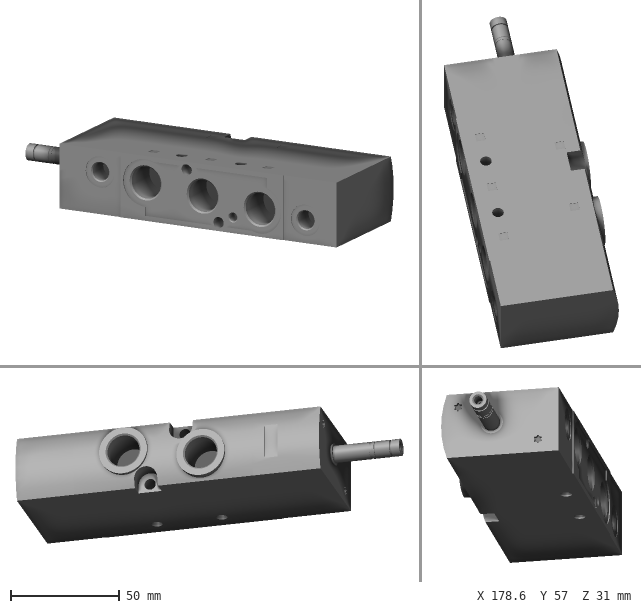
import cadquery as cq
import math

TOTAL_LENGTH = 178.6
HEIGHT = 31.0
TOTAL_DEPTH = 57.0
HALF_HEIGHT = HEIGHT / 2

STEM_LENGTH = 32.9
LEFT_CAP_LENGTH = 32.3
HOUSING_LENGTH = 85.7
HOUSING_LEFT = STEM_LENGTH + LEFT_CAP_LENGTH
HOUSING_RIGHT = HOUSING_LEFT + HOUSING_LENGTH
HOUSING_MID = HOUSING_LEFT + HOUSING_LENGTH / 2

CAP_SETBACK = 0.4
BOSS_RISE = 1.0
CROWN_RISE = 2.7
BACK_APEX = TOTAL_DEPTH - BOSS_RISE
BACK_EDGE = BACK_APEX - CROWN_RISE

PORT_DIAMETER = 15.4
PORT_MOUTH_DIAMETER = 16.8
PORT_DEPTH = 17.9
FRONT_PORT_PITCH = 30.0
BACK_PORT_OFFSET = 18.5
PORT_STAGGER = 2.5
BOSS_DIAMETER = 23.0
BOSS_START = BACK_EDGE - CROWN_RISE

RECESS_DEPTH = 0.5
RECESS_HALF_HEIGHT = 13.2
RECESS_RADIUS = BOSS_DIAMETER / 2
RECESS_RIGHT_CORNER = 34.1

MOUNT_HOLE_DIAMETER = 5.4
MOUNT_HOLE_X = 8.4
MOUNT_HOLE_Z = 11.6
MOUNT_SLOT_WIDTH = 11.0
MOUNT_SLOT_DEPTH = 9.1
CROSS_HOLE_X = 15.5
CROSS_HOLE_Y = 9.1
LOCATOR_X = 15.9
LOCATOR_Z = -8.2
LOCATOR_DIAMETER = 4.0
LOCATOR_MOUTH_DIAMETER = 4.8
LOCATOR_DEPTH = 5.4

LABEL_SIZE = 4.3
LABEL_DEPTH = 0.2
BACK_LABEL_Y = 44.5

PILOT_DIAMETER = 8.5
PILOT_MOUTH_DIAMETER = 9.6
PILOT_DEPTH = 10.7
PILOT_FACE_DIAMETER = 15.0
PILOT_FACE_DEPTH = 0.4
LEFT_PILOT = (54.1, 4.6)
RIGHT_PILOT = (162.2, -4.6)

CAP_GROOVE_X = 56.0
CAP_GROOVE_WIDTH = 6.5
CAP_GROOVE_DEPTH = 0.7

SCREW_HEAD_DIAMETER = 8.0
SCREW_HEAD_HEIGHT = 4.5
SCREW_PLACES = [(47.9, 9.1), (10.2, -9.3)]
SOCKET_CORE_DIAMETER = 3.0
SOCKET_LOBE_DIAMETER = 0.9
SOCKET_LOBE_RADIUS = 1.6
SOCKET_LOBE_COUNT = 6
SOCKET_DEPTH = 1.8

STEM_Y = 31.8
STEM_DIAMETER = 8.0
PLUG_LENGTH = 12.1
CLIP_GROOVE_START = 4.0
CLIP_GROOVE_WIDTH = 0.9
CLIP_GROOVE_DIAMETER = 6.8
TIP_HOLE_DIAMETER = 4.0
TIP_HOLE_MOUTH_DIAMETER = 5.4
TIP_HOLE_DEPTH = 7.1
TIP_BORE_DIAMETER = 2.3
TIP_BORE_DEPTH = 1.8
JOINT_CHAMFER = 0.4
CRIMP_START = 13.4
CRIMP_WIDTH = 1.0
CRIMP_DEPTH = 0.2
FLANGE_DIAMETER = 10.5
FLANGE_BASE_DIAMETER = 9.3
FLANGE_WIDTH = 1.0


def cylinder(start, direction, diameter, length):
    solid = cq.Solid.makeCylinder(diameter / 2, length, cq.Vector(*start), cq.Vector(*direction))
    return cq.Workplane(solid)


def port_cutter(x, y, z, inward, diameter, mouth_diameter, depth):
    """Blind hole along Y with a 45 degree countersunk mouth; inward is +1 or -1."""
    start = cq.Vector(x, y, z)
    direction = cq.Vector(0, inward, 0)
    countersink_depth = (mouth_diameter - diameter) / 2
    countersink = cq.Solid.makeCone(mouth_diameter / 2, diameter / 2, countersink_depth, start, direction)
    return cylinder((x, y, z), (0, inward, 0), diameter, depth).union(cq.Workplane(countersink))


def crowned_block(x_left, x_right, front):
    """Rectangular block whose back face is crowned by a shallow arc."""
    return (
        cq.Workplane("YZ", origin=(x_left, 0, 0))
        .moveTo(front, -HALF_HEIGHT)
        .lineTo(BACK_EDGE, -HALF_HEIGHT)
        .threePointArc((BACK_APEX, 0), (BACK_EDGE, HALF_HEIGHT))
        .lineTo(front, HALF_HEIGHT)
        .close()
        .extrude(x_right - x_left)
    )


def sealing_recess():
    """Shallow front recess: a flat band that swells into an arc around each outer port."""
    port_x = FRONT_PORT_PITCH
    crossing = math.sqrt(RECESS_RADIUS**2 - (RECESS_HALF_HEIGHT - PORT_STAGGER) ** 2)
    corner_rise = math.sqrt(RECESS_RADIUS**2 - (RECESS_RIGHT_CORNER - port_x) ** 2)
    return (
        cq.Workplane("XZ", origin=(HOUSING_MID, 0, 0))
        .moveTo(crossing - port_x, RECESS_HALF_HEIGHT)
        .lineTo(RECESS_RIGHT_CORNER, RECESS_HALF_HEIGHT)
        .lineTo(RECESS_RIGHT_CORNER, corner_rise - PORT_STAGGER)
        .threePointArc((port_x + RECESS_RADIUS, -PORT_STAGGER), (port_x - crossing, -RECESS_HALF_HEIGHT))
        .lineTo(-port_x, -RECESS_HALF_HEIGHT)
        .lineTo(-port_x, PORT_STAGGER - RECESS_RADIUS)
        .threePointArc((-port_x - RECESS_RADIUS, PORT_STAGGER), (crossing - port_x, RECESS_HALF_HEIGHT))
        .close()
        .extrude(-RECESS_DEPTH)
    )


def mounting_cutter(side):
    """Through hole along Y, opened at the back by a round-bottomed slot to the top (+1) or bottom (-1)."""
    x = HOUSING_MID - side * MOUNT_HOLE_X
    z = side * MOUNT_HOLE_Z
    slot_front = BACK_APEX - MOUNT_SLOT_DEPTH
    hole = cylinder((x, 0, z), (0, 1, 0), MOUNT_HOLE_DIAMETER, TOTAL_DEPTH)
    slot_end = cylinder((x, slot_front, z), (0, 1, 0), MOUNT_SLOT_WIDTH, TOTAL_DEPTH)
    slot = cq.Workplane("XY").box(MOUNT_SLOT_WIDTH, TOTAL_DEPTH, HALF_HEIGHT, centered=(True, False, False))
    if side < 0:
        slot = slot.mirror("XY")
    return hole.union(slot_end).union(slot.translate((x, slot_front, z)))


def make_housing():
    housing = crowned_block(HOUSING_LEFT, HOUSING_RIGHT, 0)
    for side in (-1, 1):
        boss_place = (HOUSING_MID + side * BACK_PORT_OFFSET, BOSS_START, side * PORT_STAGGER)
        boss_length = TOTAL_DEPTH - BOSS_START
        housing = housing.union(cylinder(boss_place, (0, 1, 0), BOSS_DIAMETER, boss_length))
    housing = housing.cut(sealing_recess())

    for step in (-1, 0, 1):
        x = HOUSING_MID + step * FRONT_PORT_PITCH
        z = -step * PORT_STAGGER
        housing = housing.cut(
            port_cutter(x, RECESS_DEPTH, z, 1, PORT_DIAMETER, PORT_MOUTH_DIAMETER, PORT_DEPTH)
        )
    for side in (-1, 1):
        x = HOUSING_MID + side * BACK_PORT_OFFSET
        z = side * PORT_STAGGER
        housing = housing.cut(
            port_cutter(x, TOTAL_DEPTH, z, -1, PORT_DIAMETER, PORT_MOUTH_DIAMETER, PORT_DEPTH)
        )
        housing = housing.cut(mounting_cutter(side))
        cross_hole_start = (HOUSING_MID + side * CROSS_HOLE_X, CROSS_HOLE_Y, -HALF_HEIGHT)
        housing = housing.cut(cylinder(cross_hole_start, (0, 0, 1), MOUNT_HOLE_DIAMETER, HEIGHT))
    housing = housing.cut(
        port_cutter(
            HOUSING_MID + LOCATOR_X, RECESS_DEPTH, LOCATOR_Z, 1,
            LOCATOR_DIAMETER, LOCATOR_MOUTH_DIAMETER, LOCATOR_DEPTH,
        )
    )

    label_places = [(step * FRONT_PORT_PITCH, CROSS_HOLE_Y) for step in (-1, 0, 1)]
    label_places += [(side * BACK_PORT_OFFSET, BACK_LABEL_Y) for side in (-1, 1)]
    labels = (
        cq.Workplane("XY", origin=(HOUSING_MID, 0, HALF_HEIGHT))
        .pushPoints(label_places)
        .rect(LABEL_SIZE, LABEL_SIZE)
        .extrude(-LABEL_DEPTH)
    )
    return housing.cut(labels)


def make_cap(x_left, x_right, pilot):
    """End cap with a spot-faced pilot port at pilot = (X, Z)."""
    x, z = pilot
    spot_floor = CAP_SETBACK + PILOT_FACE_DEPTH
    cap = crowned_block(x_left, x_right, CAP_SETBACK)
    cap = cap.cut(cylinder((x, CAP_SETBACK, z), (0, 1, 0), PILOT_FACE_DIAMETER, PILOT_FACE_DEPTH))
    return cap.cut(port_cutter(x, spot_floor, z, 1, PILOT_DIAMETER, PILOT_MOUTH_DIAMETER, PILOT_DEPTH))


def make_left_cap():
    cap = make_cap(STEM_LENGTH, HOUSING_LEFT, LEFT_PILOT)
    for y, z in SCREW_PLACES:
        cap = cap.cut(cylinder((STEM_LENGTH, y, z), (1, 0, 0), SCREW_HEAD_DIAMETER, SCREW_HEAD_HEIGHT))
    groove = (
        cq.Workplane("XY")
        .box(CAP_GROOVE_WIDTH, CAP_GROOVE_DEPTH, HEIGHT)
        .translate((CAP_GROOVE_X, BACK_APEX - CAP_GROOVE_DEPTH / 2, 0))
    )
    return cap.cut(groove)


def make_screw(y, z):
    """Flush screw head with a six-lobed socket."""
    screw = cylinder((STEM_LENGTH, y, z), (1, 0, 0), SCREW_HEAD_DIAMETER, SCREW_HEAD_HEIGHT)
    screw = screw.cut(cylinder((STEM_LENGTH, y, z), (1, 0, 0), SOCKET_CORE_DIAMETER, SOCKET_DEPTH))
    for lobe in range(SOCKET_LOBE_COUNT):
        angle = 2 * math.pi * lobe / SOCKET_LOBE_COUNT
        lobe_y = y + SOCKET_LOBE_RADIUS * math.sin(angle)
        lobe_z = z + SOCKET_LOBE_RADIUS * math.cos(angle)
        lobe_start = (STEM_LENGTH, lobe_y, lobe_z)
        screw = screw.cut(cylinder(lobe_start, (1, 0, 0), SOCKET_LOBE_DIAMETER, SOCKET_DEPTH))
    return screw


def stem_cylinder(x, diameter, length):
    return cylinder((x, STEM_Y, 0), (1, 0, 0), diameter, length)


def stem_cone(x, start_diameter, end_diameter, length):
    cone = cq.Solid.makeCone(
        start_diameter / 2, end_diameter / 2, length, cq.Vector(x, STEM_Y, 0), cq.Vector(1, 0, 0)
    )
    return cq.Workplane(cone)


def stem_groove(x, width, floor_diameter):
    return stem_cylinder(x, STEM_DIAMETER, width).cut(stem_cylinder(x, floor_diameter, width))


def make_stem_plug():
    """Tip of the stem with a clip groove and a countersunk, stepped axial hole."""
    plug = stem_cylinder(0, STEM_DIAMETER, PLUG_LENGTH).faces(">X").chamfer(JOINT_CHAMFER)
    plug = plug.cut(stem_groove(CLIP_GROOVE_START, CLIP_GROOVE_WIDTH, CLIP_GROOVE_DIAMETER))
    countersink_depth = (TIP_HOLE_MOUTH_DIAMETER - TIP_HOLE_DIAMETER) / 2
    plug = plug.cut(stem_cone(0, TIP_HOLE_MOUTH_DIAMETER, TIP_HOLE_DIAMETER, countersink_depth))
    plug = plug.cut(stem_cylinder(0, TIP_HOLE_DIAMETER, TIP_HOLE_DEPTH))
    return plug.cut(stem_cylinder(TIP_HOLE_DEPTH, TIP_BORE_DIAMETER, TIP_BORE_DEPTH))


def make_stem_tube():
    """Body of the stem with a shallow crimp groove and a flange that tapers towards the cap."""
    tube = stem_cylinder(PLUG_LENGTH, STEM_DIAMETER, STEM_LENGTH - PLUG_LENGTH)
    tube = tube.cut(stem_groove(CRIMP_START, CRIMP_WIDTH, STEM_DIAMETER - 2 * CRIMP_DEPTH))
    flange_start = STEM_LENGTH - FLANGE_WIDTH
    return tube.union(stem_cone(flange_start, FLANGE_DIAMETER, FLANGE_BASE_DIAMETER, FLANGE_WIDTH))


housing = make_housing()
left_cap = make_left_cap()
right_cap = make_cap(HOUSING_RIGHT, TOTAL_LENGTH, RIGHT_PILOT)
screws = [make_screw(y, z) for y, z in SCREW_PLACES]
stem_plug = make_stem_plug()
stem_tube = make_stem_tube()

result = cq.Compound.makeCompound(
    [
        housing.val(),
        left_cap.val(),
        right_cap.val(),
        *[screw.val() for screw in screws],
        stem_plug.val(),
        stem_tube.val(),
    ]
)